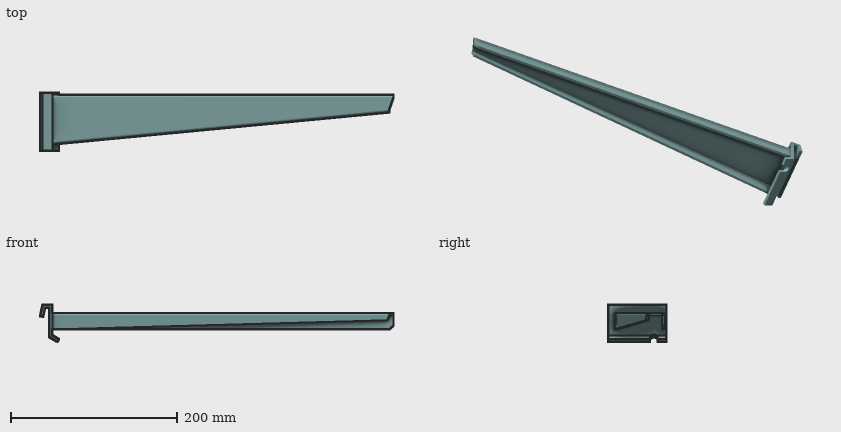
import cadquery as cq
import math

arm_end = 425.05
arm_length = 410.0

bracket_width = 70.0
bracket_height = 45.0
strip_thickness = 4.0
plate_front = arm_end - arm_length
plate_back = plate_front - strip_thickness
hook_top_back = 3.0
hook_angle = math.radians(12)
lip_angle = math.radians(30)
lip_reach = 23.0

slot_width = 9.0
slot_depth = 10.5
slot_y = 55.0

arm_top = 35.0
arm_depth = 20.0
sheet_thickness = 3.0
bend_radius = 3.5
arm_back_margin = 2.5
arm_back_y = bracket_width - arm_back_margin
root_width = 60.0
tip_width = 21.5
tip_setback = 5.0
front_tip_depth = 9.0
front_end_slant = 2.7
back_corner_length = 5.0
back_corner_height = 4.5

arm_bottom = arm_top - arm_depth
arm_front_end = arm_end - tip_setback
front_root_y = arm_back_y - root_width
front_tip_y = arm_back_y - tip_width


def make_bracket():
    """Strip with a downward hook at the back and an angled lip below."""
    hook_slope = math.tan(hook_angle)
    hook_tip_z = bracket_height - hook_top_back / hook_slope
    hook_inner_tip_x = strip_thickness * math.cos(hook_angle)
    hook_inner_tip_z = hook_tip_z - strip_thickness * math.sin(hook_angle)
    hook_inner_top_z = bracket_height - strip_thickness
    hook_inner_top_x = hook_inner_tip_x + (hook_inner_top_z - hook_inner_tip_z) * hook_slope

    lip_slope = math.tan(lip_angle)
    lip_edge_x = lip_reach - strip_thickness * math.sin(lip_angle)
    lip_edge_z = strip_thickness * math.cos(lip_angle)

    strip = (
        cq.Workplane("XZ")
        .moveTo(plate_front, bracket_height)
        .lineTo(hook_top_back, bracket_height)
        .lineTo(0, hook_tip_z)
        .lineTo(hook_inner_tip_x, hook_inner_tip_z)
        .lineTo(hook_inner_top_x, hook_inner_top_z)
        .lineTo(plate_back, hook_inner_top_z)
        .lineTo(plate_back, (lip_edge_x - plate_back) * lip_slope)
        .lineTo(lip_edge_x, 0)
        .lineTo(lip_reach, lip_edge_z)
        .lineTo(plate_front, lip_edge_z + (lip_reach - plate_front) * lip_slope)
        .close()
        .extrude(-bracket_width)
    )
    return strip.cut(make_lip_slot(lip_edge_x))


def make_lip_slot(lip_edge_x):
    """Cutter square to the lip, with a round inner end, open at the lip's edge."""
    slot_radius = slot_width / 2
    straight_depth = slot_depth - slot_radius
    lip_plane = cq.Plane(
        origin=(lip_edge_x, slot_y, 0),
        xDir=(math.cos(lip_angle), 0, -math.sin(lip_angle)),
        normal=(math.sin(lip_angle), 0, math.cos(lip_angle)),
    )
    return (
        cq.Workplane(lip_plane)
        .moveTo(0, -slot_radius)
        .lineTo(-straight_depth, -slot_radius)
        .threePointArc((-slot_depth, 0), (-straight_depth, slot_radius))
        .lineTo(0, slot_radius)
        .close()
        .extrude(strip_thickness)
    )


def make_arm_block(inset):
    """Tapered block with rounded long top edges, its sides and top moved in by the inset."""
    taper_angle = math.atan2(root_width - tip_width, arm_front_end - plate_front)
    front_inset = inset / math.cos(taper_angle)
    return (
        cq.Workplane("XY", origin=(0, 0, arm_bottom))
        .moveTo(plate_front, arm_back_y - inset)
        .lineTo(arm_end, arm_back_y - inset)
        .lineTo(arm_end, arm_back_y - bend_radius)
        .lineTo(arm_front_end, front_tip_y + bend_radius)
        .lineTo(arm_front_end, front_tip_y + front_inset)
        .lineTo(plate_front, front_root_y + front_inset)
        .close()
        .extrude(arm_depth - inset)
        .faces(">Z")
        .edges(">Y or <Y")
        .fillet(bend_radius - inset)
    )


def make_front_flange_trim():
    """Cutter below the front flange's sloping lower edge and past its slanted end."""
    fold_z = arm_top - bend_radius
    end_foot_x = arm_front_end - front_end_slant
    trim_width = root_width - tip_width / 2
    return (
        cq.Workplane("XZ", origin=(0, front_root_y, 0))
        .moveTo(plate_front, arm_bottom)
        .lineTo(end_foot_x, arm_top - front_tip_depth)
        .lineTo(arm_front_end, fold_z)
        .lineTo(arm_end, fold_z)
        .lineTo(arm_end, arm_bottom)
        .close()
        .extrude(-trim_width)
    )


def make_back_corner_trim():
    """Triangular cutter for the lower end corner of the back flange."""
    return (
        cq.Workplane("XZ", origin=(0, arm_back_y, 0))
        .moveTo(arm_end, arm_bottom)
        .lineTo(arm_end - back_corner_length, arm_bottom)
        .lineTo(arm_end, arm_bottom + back_corner_height)
        .close()
        .extrude(bend_radius)
    )


def make_arm():
    """Channel with a straight back flange and a front flange that gets shallower toward the tip."""
    channel = make_arm_block(0).cut(make_arm_block(sheet_thickness))
    return channel.cut(make_front_flange_trim()).cut(make_back_corner_trim())


bracket = make_bracket()
arm = make_arm()

result = cq.Compound.makeCompound([bracket.val(), arm.val()])